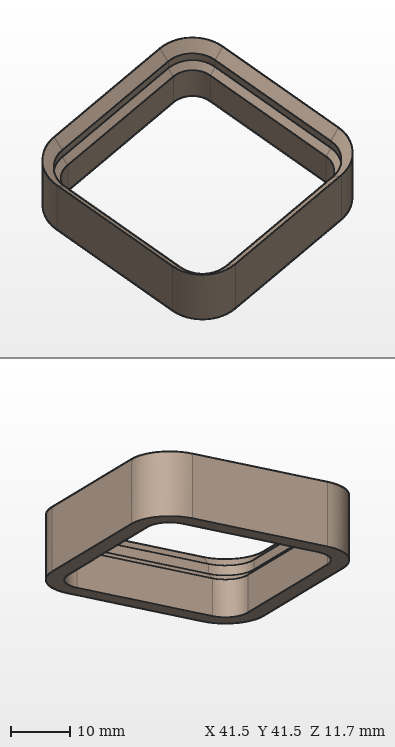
import cadquery as cq

side = 41.5
height = 11.7
corner_radius = 7.5

upper_slope = 1.9
straight_depth = 1.8
lower_slope = 1.2


def rounded_square(inset, bottom, depth, taper=0):
    """Rounded square prism, inset from the outer wall; taper is in degrees."""
    width = side - 2 * inset
    return (
        cq.Workplane("XY", origin=(0, 0, bottom))
        .sketch()
        .rect(width, width)
        .vertices()
        .fillet(corner_radius - inset)
        .finalize()
        .extrude(depth, taper=taper)
    )


slope_angle = 45
wall = upper_slope + lower_slope
ledge_top = height - upper_slope
lower_slope_top = ledge_top - straight_depth
lower_slope_bottom = lower_slope_top - lower_slope

frame = rounded_square(0, 0, height)
through_opening = rounded_square(wall, 0, height)
lower_flare = rounded_square(wall, lower_slope_bottom, lower_slope, -slope_angle)
straight_recess = rounded_square(upper_slope, lower_slope_top, straight_depth)
upper_flare = rounded_square(upper_slope, ledge_top, upper_slope, -slope_angle)

result = frame
for cutter in (through_opening, lower_flare, straight_recess, upper_flare):
    result = result.cut(cutter)